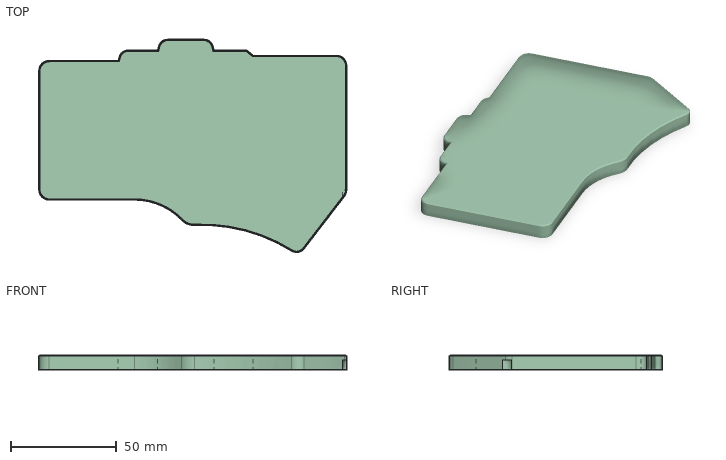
import cadquery as cq
length = 146.0
thickness = 7.0
edge_chamfer = 0.6
left_x = -length / 2
right_x = length / 2

tab_y = 50.5
shoulder_y = 45.4
back_left_y = 40.5
back_right_y = 42.9

shoulder_left_x = -35.3
tab_left_x = -16.6
tab_right_x = 10.1
shoulder_right_x = 25.5
shoulder_slope_end_x = 28.6
step_lean = 1.3

front_y = -25.7
front_arc_start_x = -27.6
knee = (-2.9, -38.0)
tip = (50.2, -52.1)
long_arc_radius = 80.3
slant_end_y = -22.5

corner_radius = 5.0
step_radius = 4.5
shoulder_radius = 2.2
knee_radius = 8.0
tip_radius = 4.5

relief_depth = 2.0
relief_height = 4.5
relief_back_y = -21.0

plate_corners = [
    (left_x, front_y),
    (left_x, back_left_y),
    (right_x, back_right_y),
    (right_x, slant_end_y),
]
step_corners = [
    (shoulder_left_x + step_lean, shoulder_y),
    (tab_left_x + step_lean, tab_y),
    (tab_right_x - step_lean, tab_y),
]
shoulder_corner = (shoulder_right_x, shoulder_y)


def sharp_plate():
    """Plate with every outline corner still sharp."""
    return (
        cq.Workplane("XY")
        .moveTo(left_x, front_y)
        .lineTo(front_arc_start_x, front_y)
        .tangentArcPoint(knee, relative=False)
        .radiusArc(tip, long_arc_radius)
        .lineTo(right_x, slant_end_y)
        .lineTo(right_x, back_right_y)
        .lineTo(shoulder_slope_end_x, back_right_y)
        .lineTo(shoulder_right_x, shoulder_y)
        .lineTo(tab_right_x, shoulder_y)
        .lineTo(tab_right_x - step_lean, tab_y)
        .lineTo(tab_left_x + step_lean, tab_y)
        .lineTo(tab_left_x, shoulder_y)
        .lineTo(shoulder_left_x + step_lean, shoulder_y)
        .lineTo(shoulder_left_x, back_left_y)
        .lineTo(left_x, back_left_y)
        .close()
        .extrude(thickness)
    )


def round_corners(body, corners, radius):
    """Fillet the upright edges standing on the given outline corners."""
    for x, y in corners:
        nearest = cq.selectors.NearestToPointSelector((x, y, thickness / 2))
        body = body.edges("|Z").edges(nearest).fillet(radius)
    return body


def corner_relief():
    """Block removed from the lower part of the right front corner."""
    width = relief_back_y - front_y + corner_radius
    return (
        cq.Workplane("XY")
        .box(relief_depth, width, relief_height, centered=False)
        .translate((right_x - relief_depth, relief_back_y - width, 0))
    )


plate = sharp_plate()
plate = round_corners(plate, plate_corners, corner_radius)
plate = round_corners(plate, step_corners, step_radius)
plate = round_corners(plate, [shoulder_corner], shoulder_radius)
plate = round_corners(plate, [knee], knee_radius)
plate = round_corners(plate, [tip], tip_radius)
plate = plate.faces(">Z").chamfer(edge_chamfer)

result = plate.cut(corner_relief())